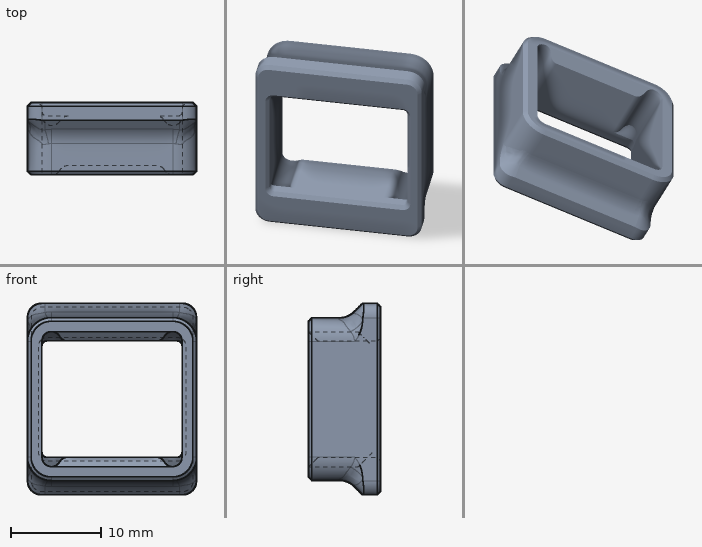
import cadquery as cq
import math

width = 18.7
height = 21.2
depth = 8.0
front = -depth / 2
rear = depth / 2

body_height = 18.0
body_corner = 2.6
flange_corner = 1.6
flange_thickness = 2.0
flange_front = rear - flange_thickness
neck_fillet = 2.25
edge_chamfer = 0.4

neck_margin = 1.05
neck_corner = 1.9
taper_depth = 1.87
taper_start = flange_front + neck_margin
tolerance = 0.02

opening_width = 15.48
front_opening_height = 14.92
rear_opening_height = 12.85
rear_opening_corner = 0.5
rear_land = 1.48
floor_half = rear_opening_height / 2
groove_half = front_opening_height / 2
groove_depth = groove_half - floor_half
groove_radius = groove_depth
wall_x = opening_width / 2
overlap = 0.85


def rounded_block(size_x, size_z, corner, y_start, length):
    """Rectangular block along Y with rounded corners."""
    return (
        cq.Workplane("XZ", origin=(0, y_start, 0))
        .rect(size_x, size_z)
        .extrude(-length)
        .edges("|Y")
        .fillet(corner)
    )


def neck():
    """Body joined to a 45 degree taper, with a fillet running all round the joint.

    The taper starts larger than the flange so that it also surrounds the body sides.
    """
    body = rounded_block(width, body_height, body_corner, front, depth)
    taper = (
        cq.Workplane("XZ", origin=(0, taper_start, 0))
        .sketch()
        .rect(width + 2 * neck_margin, height + 2 * neck_margin)
        .vertices()
        .fillet(neck_corner + neck_margin)
        .finalize()
        .extrude(neck_margin + taper_depth, taper=45)
    )
    around_joint = cq.selectors.BoxSelector(
        (-width / 2 - tolerance, front + neck_margin, -body_height / 2 - tolerance),
        (width / 2 + tolerance, taper_start - tolerance, body_height / 2 + tolerance),
        boundingbox=True,
    )
    return body.union(taper).edges(around_joint).fillet(neck_fillet)


def shell():
    """Neck trimmed to the flange outline, with the flange behind it and a chamfered front rim."""
    outline = rounded_block(width, height, flange_corner, front, depth)
    flange = rounded_block(width, height, flange_corner, taper_start, rear - taper_start)
    solid = neck().intersect(outline).union(flange)
    return solid.faces("<Y").chamfer(edge_chamfer)


def along_depth(points, length):
    """Prism along X, centred on X = 0, from (y, z) points."""
    return cq.Workplane("YZ").polyline(points).close().extrude(length / 2, both=True)


def floor_chamfer():
    """45 degree lead-in on the upper floor at the front rim."""
    points = [
        (front, floor_half),
        (front, groove_half),
        (front + groove_depth, floor_half),
    ]
    return along_depth(points, opening_width - 2 * groove_radius)


def corner_groove():
    """Groove in the +X +Z corner: a hollow arc runs into a crown arc, ending in a 45 degree ramp."""
    turn = math.radians(60)
    hollow_x = wall_x - groove_radius
    hollow_z = groove_half - groove_radius
    crown_x = hollow_x - 2 * groove_radius * math.sin(turn)
    crown_z = floor_half + groove_radius

    def hollow(angle):
        return (
            hollow_x + groove_radius * math.sin(angle),
            hollow_z + groove_radius * math.cos(angle),
        )

    def crown(angle):
        return (
            crown_x + groove_radius * math.sin(angle),
            crown_z - groove_radius * math.cos(angle),
        )

    inner_z = floor_half - overlap
    profile = (
        cq.Workplane("XZ", origin=(0, front, 0))
        .moveTo(wall_x, inner_z)
        .lineTo(wall_x, hollow_z)
        .threePointArc(hollow(math.radians(45)), hollow(0))
        .threePointArc(hollow(-turn / 2), hollow(-turn))
        .threePointArc(crown(turn / 2), crown(0))
        .lineTo(crown_x, inner_z)
        .close()
        .extrude(-depth)
    )
    ramp_end = rear - rear_land
    ramp = [
        (front, inner_z),
        (front, groove_half),
        (ramp_end - groove_depth, groove_half),
        (ramp_end + overlap, inner_z),
    ]
    return profile.intersect(along_depth(ramp, width))


def opening():
    """Everything removed from the inside of the frame."""
    cutter = rounded_block(opening_width, rear_opening_height, rear_opening_corner, front, depth)
    right_groove = corner_groove()
    upper = floor_chamfer().union(right_groove).union(right_groove.mirror("YZ"))
    return cutter.union(upper).union(upper.mirror("XY"))


result = shell().cut(opening()).faces(">Y").chamfer(edge_chamfer)